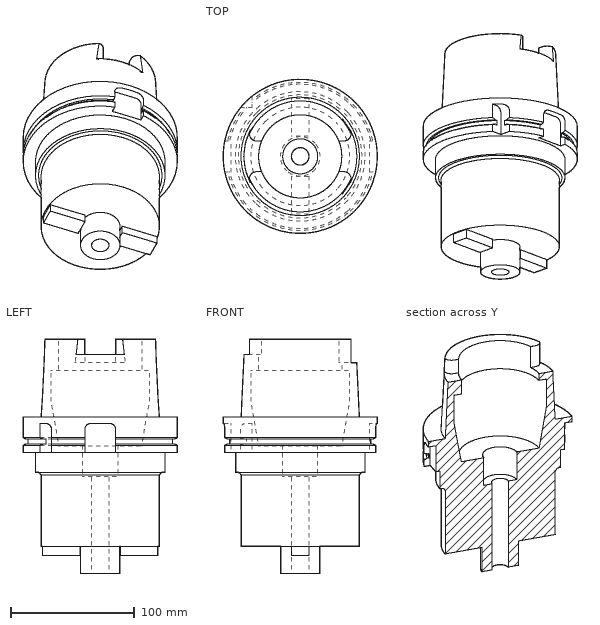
import cadquery as cq


shank_height = 63.0
shank_base_radius = 48.0
shank_top_radius = 45.0

flange_radius = 62.5
flange_height = 29.0
groove_radius = 58.6
groove_top_depth = 16.9
groove_bottom_depth = 23.0
groove_chamfer_height = 1.2
groove_chamfer_width = 2.4

collar_radius = 52.5
collar_bottom_depth = 45.0
neck_radius = 50.0
body_radius = 48.0
body_bottom_depth = 105.0
spigot_radius = 16.0
total_height = 190.0
neck_bottom_depth = collar_bottom_depth + neck_radius - body_radius
spigot_bottom_depth = total_height - shank_height

mouth_radius = 33.7
mouth_depth = 25.5
chamber_radius = 40.0
chamber_wall_depth = 50.5
chamber_cone_height = 36.0
socket_radius = 14.2
socket_depth = 25.0
coolant_radius = 7.0

drive_slot_width = 24.8
drive_slot_corner_radius = 6.0
rim_flat_distance = 41.2
left_drive_slot_depth = 12.3
right_drive_slot_depth = 19.0

gripper_slot_width = 25.0
gripper_slot_floor = 56.0
pocket_corner_radius = 5.0
pocket_top_depth = 5.3
notch_floor = 39.0
notch_inner_edge = 39.4

key_width = 14.4
key_height = 7.5
key_inner_end = 16.3
key_outer_end = 46.8


def make_body():
    """Revolve the complete outer outline."""
    groove_wall_top = groove_top_depth + groove_chamfer_height
    groove_wall_bottom = groove_bottom_depth - groove_chamfer_height
    groove_mouth_radius = flange_radius - groove_chamfer_width
    outline = [
        (0, shank_height),
        (shank_top_radius, shank_height),
        (shank_base_radius, 0),
        (flange_radius, 0),
        (flange_radius, -groove_top_depth),
        (groove_mouth_radius, -groove_wall_top),
        (groove_radius, -groove_wall_top),
        (groove_radius, -groove_wall_bottom),
        (groove_mouth_radius, -groove_wall_bottom),
        (flange_radius, -groove_bottom_depth),
        (flange_radius, -flange_height),
        (collar_radius, -flange_height),
        (collar_radius, -collar_bottom_depth),
        (neck_radius, -collar_bottom_depth),
        (body_radius, -neck_bottom_depth),
        (body_radius, -body_bottom_depth),
        (spigot_radius, -body_bottom_depth),
        (spigot_radius, -spigot_bottom_depth),
        (0, -spigot_bottom_depth),
    ]
    return cq.Workplane("XZ").polyline(outline).close().revolve(360, (0, 0, 0), (0, 1, 0))


def make_bores():
    """Stepped bore: mouth, wider clamping chamber narrowing in a cone, socket and coolant hole."""
    mouth_bottom = shank_height - mouth_depth
    cone_top = shank_height - chamber_wall_depth
    chamber_floor = cone_top - chamber_cone_height
    socket_floor = chamber_floor - socket_depth
    outline = [
        (0, shank_height),
        (mouth_radius, shank_height),
        (mouth_radius, mouth_bottom),
        (chamber_radius, mouth_bottom),
        (chamber_radius, cone_top),
        (mouth_radius, chamber_floor),
        (socket_radius, chamber_floor),
        (socket_radius, socket_floor),
        (coolant_radius, socket_floor),
        (coolant_radius, -spigot_bottom_depth),
        (0, -spigot_bottom_depth),
    ]
    return cq.Workplane("XZ").polyline(outline).close().revolve(360, (0, 0, 0), (0, 1, 0))


def make_drive_slot(side, depth):
    """Slot on one X side (+1 or -1), flaring through rounded corners to a flat on the rim."""
    half_width = drive_slot_width / 2
    corner_start = rim_flat_distance - drive_slot_corner_radius
    corner_end = half_width + drive_slot_corner_radius
    outer = shank_base_radius
    return (
        cq.Workplane("XY", origin=(0, 0, shank_height - depth))
        .moveTo(0, -half_width)
        .lineTo(side * corner_start, -half_width)
        .radiusArc((side * rim_flat_distance, -corner_end), side * drive_slot_corner_radius)
        .lineTo(side * rim_flat_distance, -outer)
        .lineTo(side * outer, -outer)
        .lineTo(side * outer, outer)
        .lineTo(side * rim_flat_distance, outer)
        .lineTo(side * rim_flat_distance, corner_end)
        .radiusArc((side * corner_start, half_width), side * drive_slot_corner_radius)
        .lineTo(0, half_width)
        .close()
        .extrude(depth)
    )


def make_flange_box(x_start, y_start, y_end):
    """Block from a floor at x_start out past the rim, open through the flange's lower face."""
    x_end = flange_radius if x_start > 0 else -flange_radius
    height = flange_height - pocket_top_depth
    return (
        cq.Workplane("XY", origin=((x_start + x_end) / 2, (y_start + y_end) / 2, -flange_height))
        .box(abs(x_end - x_start), y_end - y_start, height, centered=(True, True, False))
    )


def make_gripper_slot(side):
    """Flat-floored slot in the flange, its two upper corners rounded."""
    half_width = gripper_slot_width / 2
    slot = make_flange_box(side * gripper_slot_floor, -half_width, half_width)
    return slot.faces(">Z").edges("|X").fillet(pocket_corner_radius)


def make_orientation_notch():
    """Flat-floored notch in the flange's -X, +Y quarter with a rounded upper corner."""
    notch = make_flange_box(-notch_floor, notch_inner_edge, flange_radius)
    return notch.faces(">Z").edges("|X and <Y").fillet(pocket_corner_radius)


def make_drive_key(side):
    """Rectangular key below the body on one Y side (+1 or -1)."""
    length = key_outer_end - key_inner_end
    middle = side * (key_outer_end + key_inner_end) / 2
    return (
        cq.Workplane("XY", origin=(0, middle, -body_bottom_depth - key_height))
        .box(key_width, length, key_height, centered=(True, True, False))
    )


result = make_body().cut(make_bores())
result = result.cut(make_drive_slot(-1, left_drive_slot_depth))
result = result.cut(make_drive_slot(1, right_drive_slot_depth))
result = result.cut(make_orientation_notch())
for side in (-1, 1):
    result = result.cut(make_gripper_slot(side))
    result = result.union(make_drive_key(side))